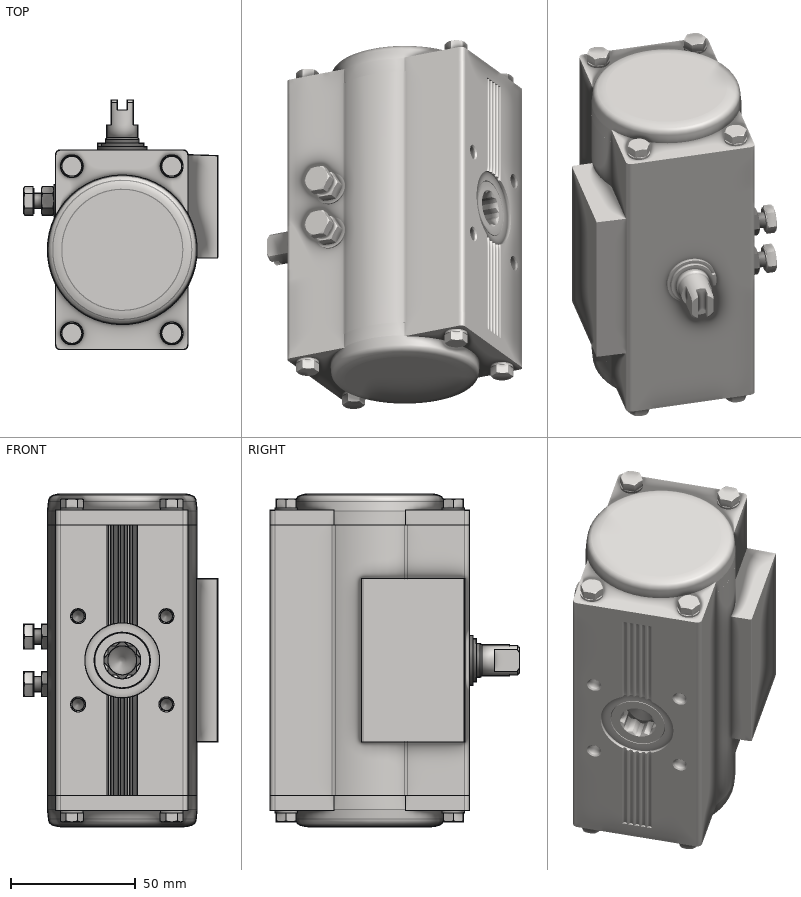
import cadquery as cq
import math


total_height = 133.3
housing_height = 108.2
block_width = 53.0
block_depth = 80.0
block_center_x = -0.2
block_corner_radius = 2.0
cylinder_diameter = 60.0
bulge_fillet = 2.7

left_face = block_center_x - block_width / 2
right_face = block_center_x + block_width / 2
top_face = block_depth / 2
bottom_face = -block_depth / 2
housing_top = housing_height / 2

plate_thickness = 6.0
bulge_thickness = 5.6
dome_rim_diameter = 59.2
dome_rim_drop = 3.0
dome_crown_diameter = 55.7
dome_crown_drop = 0.7
dome_flat_diameter = 48.5
bolt_spacing_x = 40.0
bolt_spacing_y = 66.9
bolt_across_flats = 8.0
bolt_flange_diameter = 9.0
bolt_flange_height = 0.9
bolt_total_height = 4.5

mount_recess_diameter = 30.0
mount_recess_depth = 1.5
shaft_clearance_diameter = 22.5
shaft_clearance_depth = 1.3
mount_hole_spacing = 35.3
mount_hole_diameter = 4.9
mount_hole_mouth_diameter = 6.0
mount_hole_depth = 10.0
drill_point_angle = 118.0
groove_count = 5
groove_pitch = 2.5
groove_mouth_width = 2.0
groove_floor_width = 0.8
groove_depth = 0.9

journal_diameter = 22.0
journal_end = 33.3
collar_diameter = 13.6
collar_end = 44.1
stem_diameter = 12.5
stem_start = 44.9
shaft_tip = 60.0
tip_chamfer = 0.9
tip_across_flats = 8.9
tip_flat_length = 10.0
tip_slot_width = 4.0
tip_slot_depth = 4.0
socket_square = 11.6
socket_corner_diameter = 14.8
socket_mouth_depth = 0.9
socket_depth = 8.0
shaft_bottom = bottom_face + mount_recess_depth

ring_washer_diameter = 20.0
ring_clip_diameter = 17.3
ring_layer_height = 1.3
ring_tab_width = 5.2

stop_y = 19.6
stop_spacing = 19.0
stop_across_flats = 10.0
stop_thread_diameter = 6.3
stop_head_end = -39.5
stop_head_thickness = 3.7
stop_washer_face = 0.4
stop_nut_end = -32.4
stop_flange_diameter = 13.0
stop_flange_thickness = 0.7

module_right = 38.3
module_front = -3.3
module_back = 38.1
module_back_draft = 0.4
module_height = 65.3
module_edge_radius = 0.5

hex_corner_ratio = 2 / math.sqrt(3)
hex_chamfer_angle = 30.0


def cylinder_y(diameter, start, end):
    """Cylinder along the Y axis between two Y positions."""
    return cq.Workplane("XZ", origin=(0, start, 0)).circle(diameter / 2).extrude(start - end)


def rounded_block(bottom, height):
    """Rectangular block on Z with rounded corners, shared by the housing and the covers."""
    return (
        cq.Workplane("XY", origin=(block_center_x, 0, bottom))
        .rect(block_width, block_depth)
        .extrude(height)
        .edges("|Z")
        .fillet(block_corner_radius)
    )


def bulge_cylinder(bottom, height):
    """Cylinder on Z that bulges out of the block's sides."""
    return cq.Workplane("XY", origin=(0, 0, bottom)).circle(cylinder_diameter / 2).extrude(height)


def drill_tip(diameter):
    """Height of the cone left by a drill of this diameter."""
    return diameter / 2 / math.tan(math.radians(drill_point_angle / 2))


def chamfered_hexagon(across_flats, height):
    """Hexagonal prism on Z with corners on X, its upper corners turned down to a cone."""
    corner_radius = across_flats * hex_corner_ratio / 2
    flat_radius = across_flats / 2
    drop = (corner_radius - flat_radius) * math.tan(math.radians(hex_chamfer_angle))
    turned = (
        cq.Workplane("XZ")
        .polyline([
            (0, 0),
            (corner_radius, 0),
            (corner_radius, height - drop),
            (flat_radius, height),
            (0, height),
        ])
        .close()
        .revolve(360, (0, 0), (0, 1))
    )
    return cq.Workplane("XY").polygon(6, 2 * corner_radius).extrude(height).intersect(turned)



def mount_hole(x, z):
    """Tapped blind hole in the -Y face with a countersunk mouth and a drill-point bottom."""
    radius = mount_hole_diameter / 2
    mouth = mount_hole_mouth_diameter / 2
    end = bottom_face + mount_hole_depth
    return (
        cq.Workplane("XY", origin=(x, 0, z))
        .polyline([
            (0, bottom_face),
            (mouth, bottom_face),
            (radius, bottom_face + mouth - radius),
            (radius, end),
            (0, end + drill_tip(mount_hole_diameter)),
        ])
        .close()
        .revolve(360, (0, 0), (0, 1))
    )


def grooves():
    """Cutters for the parallel tapered grooves running the full height of the -Y face."""
    cutters = []
    for index in range(groove_count):
        x = (index - (groove_count - 1) / 2) * groove_pitch
        cutters.append(
            cq.Workplane("XY", origin=(x, bottom_face, -housing_top))
            .polyline([
                (-groove_mouth_width / 2, 0),
                (groove_mouth_width / 2, 0),
                (groove_floor_width / 2, groove_depth),
                (-groove_floor_width / 2, groove_depth),
            ])
            .close()
            .extrude(housing_height)
        )
    return cutters


def make_housing(stop_screws):
    housing = rounded_block(-housing_top, housing_height)
    housing = housing.union(bulge_cylinder(-housing_top, housing_height))
    junction_y = math.sqrt((cylinder_diameter / 2) ** 2 - left_face ** 2)
    junction_zone = cq.selectors.BoxSelector(
        (left_face - bulge_fillet, -junction_y - bulge_fillet, -housing_top),
        (right_face + bulge_fillet, junction_y + bulge_fillet, housing_top),
    )
    housing = housing.edges("|Z").edges(junction_zone).fillet(bulge_fillet)
    for groove in grooves():
        housing = housing.cut(groove)
    housing = housing.cut(cylinder_y(mount_recess_diameter, bottom_face, shaft_bottom))
    housing = housing.cut(
        cylinder_y(shaft_clearance_diameter, shaft_bottom, shaft_bottom + shaft_clearance_depth)
    )
    housing = housing.cut(shaft_envelope())
    for x in (-mount_hole_spacing / 2, mount_hole_spacing / 2):
        for z in (-mount_hole_spacing / 2, mount_hole_spacing / 2):
            housing = housing.cut(mount_hole(x, z))
    for screw in stop_screws:
        housing = housing.cut(screw)
    return housing



def cover_dome():
    """Round drafted dome whose flat top rolls off in two tangent arcs."""
    dome_base = housing_top + bulge_thickness
    top = total_height / 2
    return (
        cq.Workplane("XZ")
        .moveTo(0, dome_base)
        .lineTo(0, top)
        .lineTo(dome_flat_diameter / 2, top)
        .tangentArcPoint((dome_crown_diameter / 2, top - dome_crown_drop), relative=False)
        .tangentArcPoint((dome_rim_diameter / 2, top - dome_rim_drop), relative=False)
        .lineTo(cylinder_diameter / 2, dome_base)
        .close()
        .revolve(360, (0, 0), (0, 1))
    )


def cover_bolt(x, y):
    base = housing_top + plate_thickness
    flange = cq.Workplane("XY").circle(bolt_flange_diameter / 2).extrude(bolt_flange_height)
    head = chamfered_hexagon(bolt_across_flats, bolt_total_height - bolt_flange_height)
    bolt = flange.union(head.translate((0, 0, bolt_flange_height)))
    return bolt.translate((x, y, base))


def make_cover():
    """Upper end cover with its four bolts."""
    cover = rounded_block(housing_top, plate_thickness)
    cover = cover.union(bulge_cylinder(housing_top, bulge_thickness)).union(cover_dome())
    for side_x in (-1, 1):
        for side_y in (-1, 1):
            cover = cover.union(
                cover_bolt(block_center_x + side_x * bolt_spacing_x / 2, side_y * bolt_spacing_y / 2)
            )
    return cover



def shaft_envelope():
    """Turned outline of the shaft before the socket, flats and slot are cut."""
    return (
        cq.Workplane("XY")
        .polyline([
            (0, shaft_bottom),
            (journal_diameter / 2, shaft_bottom),
            (journal_diameter / 2, journal_end),
            (collar_diameter / 2, journal_end),
            (collar_diameter / 2, collar_end),
            (stem_diameter / 2, stem_start),
            (stem_diameter / 2, shaft_tip - tip_chamfer),
            (stem_diameter / 2 - tip_chamfer, shaft_tip),
            (0, shaft_tip),
        ])
        .close()
        .revolve(360, (0, 0), (0, 1))
    )


def socket():
    """Eight-point socket of two crossed squares, its corners rounded off,
    with a countersunk mouth and a conical bottom."""
    end = shaft_bottom + socket_depth
    square = cq.Workplane("XZ", origin=(0, shaft_bottom, 0)).rect(socket_square, socket_square)
    square = square.extrude(-socket_depth)
    star = square.union(square.rotate((0, 0, 0), (0, 1, 0), 45))
    star = star.intersect(cylinder_y(socket_corner_diameter, shaft_bottom, end))
    cone = (
        cq.Workplane("XY")
        .polyline([(0, end), (socket_square / 2, end), (0, end + drill_tip(socket_square))])
        .close()
        .revolve(360, (0, 0), (0, 1))
    )
    mouth = (
        cq.Workplane("XY")
        .polyline([
            (0, shaft_bottom),
            (socket_corner_diameter / 2, shaft_bottom),
            (socket_square / 2, shaft_bottom + socket_mouth_depth),
            (0, shaft_bottom + socket_mouth_depth),
        ])
        .close()
        .revolve(360, (0, 0), (0, 1))
    )
    return star.union(cone).union(mouth)


def make_shaft():
    shaft = shaft_envelope().cut(socket())
    flat_offset = (tip_across_flats + stem_diameter) / 2
    for side in (-1, 1):
        flat = cq.Workplane("XY").box(stem_diameter, tip_flat_length, stem_diameter)
        shaft = shaft.cut(flat.translate((side * flat_offset, shaft_tip - tip_flat_length / 2, 0)))
    slot = cq.Workplane("XY").box(tip_slot_width, tip_slot_depth, stem_diameter)
    return shaft.cut(slot.translate((0, shaft_tip - tip_slot_depth / 2, 0)))



def make_retaining_ring():
    """Thrust washer and clip around the shaft collar, the clip carrying a tab towards -X."""
    clip_start = top_face + ring_layer_height
    clip_end = clip_start + ring_layer_height
    washer = cylinder_y(ring_washer_diameter, top_face, clip_start)
    clip = cylinder_y(ring_clip_diameter, clip_start, clip_end)
    tab_length = ring_washer_diameter / 2
    tab = cq.Workplane("XY").box(tab_length, ring_layer_height, ring_tab_width)
    tab = tab.translate((-tab_length / 2, (clip_start + clip_end) / 2, 0))
    tab = tab.intersect(cylinder_y(ring_washer_diameter, clip_start, clip_end))
    return washer.union(clip).union(tab).cut(cylinder_y(collar_diameter, top_face, clip_end))



def make_stop_screw(z):
    """Stop screw with its flanged lock nut, built upright and then laid along -X."""
    length = left_face - stop_head_end
    nut_height = left_face - stop_nut_end - stop_flange_thickness
    head = chamfered_hexagon(stop_across_flats, stop_head_thickness)
    head = head.translate((0, 0, length - stop_head_thickness))
    face = cq.Workplane("XY", origin=(0, 0, length - stop_head_thickness - stop_washer_face))
    face = face.circle(stop_across_flats / 2).extrude(stop_washer_face)
    thread = cq.Workplane("XY").circle(stop_thread_diameter / 2).extrude(length - stop_head_thickness)
    nut = chamfered_hexagon(stop_across_flats, nut_height)
    nut = nut.intersect(nut.rotate((0, 0, nut_height / 2), (1, 0, nut_height / 2), 180))
    nut = nut.translate((0, 0, stop_flange_thickness))
    flange = cq.Workplane("XY").circle(stop_flange_diameter / 2).extrude(stop_flange_thickness)
    screw = head.union(face).union(thread).union(nut).union(flange)
    screw = screw.rotate((0, 0, 0), (0, 0, 1), 90).rotate((0, 0, 0), (0, 1, 0), -90)
    return screw.translate((left_face, stop_y, z))



def make_side_module(housing):
    """Block on the +X side, its inner face following the housing."""
    module = (
        cq.Workplane("XY", origin=(0, 0, -module_height / 2))
        .moveTo(right_face, module_front)
        .lineTo(module_right, module_front)
        .lineTo(module_right, module_back - module_back_draft)
        .lineTo(right_face, module_back)
        .close()
        .extrude(module_height)
        .edges("|Z and >X and <Y")
        .fillet(module_edge_radius)
    )
    return module.cut(housing)



shaft = make_shaft()
retaining_ring = make_retaining_ring()
stop_screws = [make_stop_screw(z) for z in (-stop_spacing / 2, stop_spacing / 2)]
housing = make_housing(stop_screws)
side_module = make_side_module(housing)
upper_cover = make_cover()
lower_cover = upper_cover.mirror("XY")

result = cq.Compound.makeCompound([
    housing.val(),
    upper_cover.val(),
    lower_cover.val(),
    shaft.val(),
    retaining_ring.val(),
    *[screw.val() for screw in stop_screws],
    side_module.val(),
])